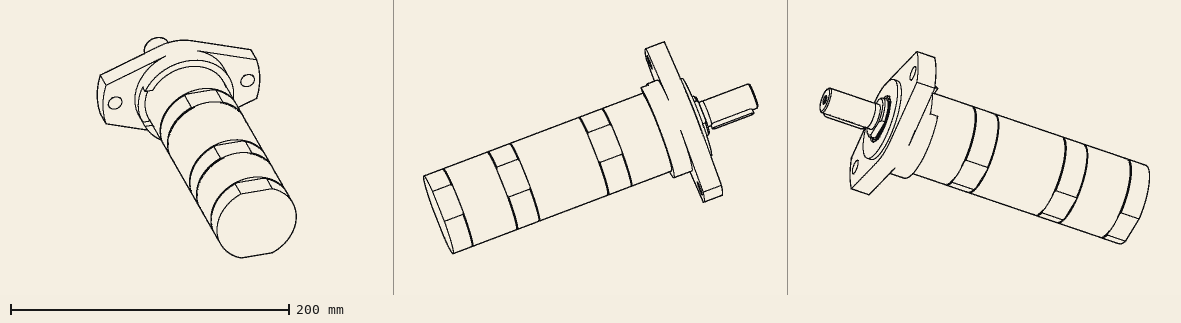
import cadquery as cq
import math


key_start = 4.5
shaft_step = 36.0
collar_start = 39.5
collar_flats_end = 43.7
pilot_start = 44.0
flange_start = 47.0
flange_end = 61.0
pocket_start = 69.0
hub_end = 74.8
overall_length = 243.0

shaft_dia = 18.7
shaft_root_dia = 19.0
shaft_chamfer = 1.0
key_width = 6.0
key_length = 32.0
key_top = 12.2
collar_dia = 30.0
collar_front_chamfer = 1.2
collar_rear_chamfer = 0.7
collar_across_flats = 24.3
seat_dia = 31.3
recess_dia = 35.0
recess_depth = 1.5

centre_mouth_dia = 6.5
centre_bore_dia = 5.0
centre_bore_depth = 1.2
centre_cone_half_angle = 30.0

hub_dia = 70.0
flange_width = 118.0
ear_corner_z = 16.5
bolt_hole_dia = 10.2
bolt_spacing = 99.6
pocket_width = 30.0

body_dia = 59.8
body_across_flats = 55.0
band_chamfer = 0.7
flatted_bands = [
    (105.5, 124.0),
    (176.5, 194.2),
    (228.0, overall_length),
]


def cylinder(start, end, diameter):
    """Round bar on the X axis between two stations."""
    return cq.Workplane("YZ", origin=(start, 0, 0)).circle(diameter / 2).extrude(end - start)


def flatted(bar, start, end, across_flats):
    """Trim a bar to two flats, facing up and down, over a length of the axis."""
    bounds = bar.val().BoundingBox()
    slab_height = bounds.zmax - across_flats / 2
    for side in (1, -1):
        slab = cq.Workplane("XY").box(end - start, bounds.ylen, slab_height)
        slab_z = side * (across_flats / 2 + slab_height / 2)
        bar = bar.cut(slab.translate(((start + end) / 2, 0, slab_z)))
    return bar


def flange_plate():
    """Two-ear plate: straight sides tangent to the hub circle, ear tips round about the axis."""
    hub_radius = hub_dia / 2
    tip_radius = flange_width / 2
    corner_y = math.sqrt(tip_radius**2 - ear_corner_z**2)
    tangent_angle = math.atan2(ear_corner_z, corner_y) + math.acos(hub_radius / tip_radius)
    tangent_y = hub_radius * math.cos(tangent_angle)
    tangent_z = hub_radius * math.sin(tangent_angle)
    bolt_y = bolt_spacing / 2
    return (
        cq.Workplane("YZ", origin=(flange_start, 0, 0))
        .moveTo(tangent_y, tangent_z)
        .threePointArc((0, hub_radius), (-tangent_y, tangent_z))
        .lineTo(-corner_y, ear_corner_z)
        .threePointArc((-tip_radius, 0), (-corner_y, -ear_corner_z))
        .lineTo(-tangent_y, -tangent_z)
        .threePointArc((0, -hub_radius), (tangent_y, -tangent_z))
        .lineTo(corner_y, -ear_corner_z)
        .threePointArc((tip_radius, 0), (corner_y, ear_corner_z))
        .close()
        .pushPoints([(bolt_y, 0), (-bolt_y, 0)])
        .circle(bolt_hole_dia / 2)
        .extrude(flange_end - flange_start)
    )


def hub():
    """Round hub behind the flange, with a pocket in its -Y side down to the body."""
    blank = cylinder(flange_end, hub_end, hub_dia)
    pocket = (
        cq.Workplane("XY")
        .box(hub_end - pocket_start, hub_dia / 2, pocket_width)
        .translate(((pocket_start + hub_end) / 2, -hub_dia / 4, 0))
    )
    return blank.cut(pocket)


def body():
    """Long round body with bands flatted at top and bottom and chamfered where they meet the body."""
    bar = cylinder(pilot_start, flatted_bands[0][0], body_dia)
    for index, (start, end) in enumerate(flatted_bands):
        band = cylinder(start, end, body_dia)
        band = band.edges("<X").chamfer(band_chamfer)
        if end < overall_length:
            band = band.edges(">X").chamfer(band_chamfer)
        bar = bar.union(flatted(band, start, end, body_across_flats))
        if index + 1 < len(flatted_bands):
            bar = bar.union(cylinder(end, flatted_bands[index + 1][0], body_dia))
    recess_end = pilot_start + recess_depth
    recess = cylinder(pilot_start, recess_end, recess_dia)
    seat = cylinder(pilot_start, recess_end, seat_dia)
    return bar.cut(recess.cut(seat))


def collar():
    """Collar chamfered at both ends, with wrench flats, resting on the seat of the body."""
    blank = cylinder(collar_start, pilot_start, collar_dia)
    blank = blank.edges("<X").chamfer(collar_front_chamfer)
    blank = blank.edges(">X").chamfer(collar_rear_chamfer)
    return flatted(blank, collar_start, collar_flats_end, collar_across_flats)


def shaft():
    """Stepped output shaft with a chamfered tip."""
    front = cylinder(0, shaft_step, shaft_dia).faces("<X").chamfer(shaft_chamfer)
    return front.union(cylinder(shaft_step, pilot_start, shaft_root_dia))


def key():
    """Round-ended key on the +Y side of the shaft."""
    return (
        cq.Workplane("XZ", origin=(key_start + key_length / 2, 0, 0))
        .slot2D(key_length, key_width)
        .extrude(-key_top)
    )


def centre_hole():
    """Centre-drilled hole: countersunk mouth, short bore and pointed cone."""
    mouth = centre_mouth_dia / 2
    bore = centre_bore_dia / 2
    mouth_depth = mouth - bore
    cone_tip = centre_bore_depth + bore / math.tan(math.radians(centre_cone_half_angle))
    return (
        cq.Workplane("XY")
        .polyline([
            (0, 0),
            (0, mouth),
            (mouth_depth, bore),
            (centre_bore_depth, bore),
            (cone_tip, 0),
        ])
        .close()
        .revolve(360, (0, 0, 0), (1, 0, 0))
    )


result = (
    body()
    .union(hub())
    .union(flange_plate())
    .union(collar())
    .union(shaft())
    .union(key())
    .cut(centre_hole())
)